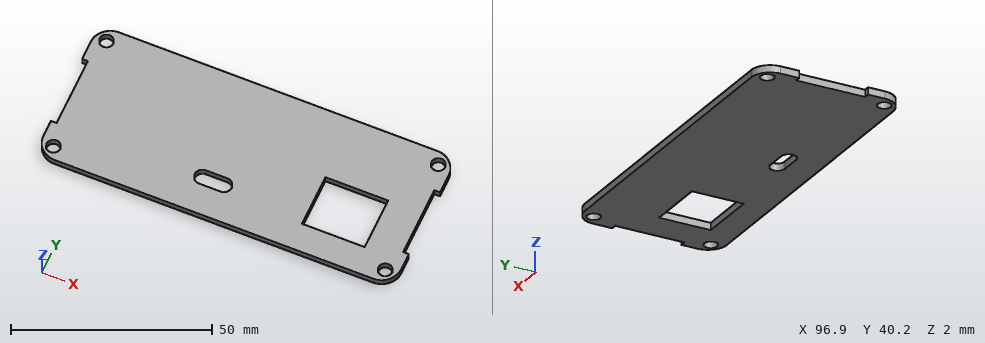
import cadquery as cq

length = 96.9
width = 40.2
thickness = 2.0
corner_radius = 5.3

hole_diameter = 3.7
left_hole_x = -45.0
right_hole_x = 44.9
upper_hole_y = 16.6
lower_hole_y = -16.6

recess_depth = 1.55
recess_top_y = 9.4
recess_bottom_y = -10.1

slot_length = 10.0
slot_width = 4.2
slot_center = (-4.6, -10.0)

window_length = 17.0
window_width = 14.6
window_center = (29.1, -5.2)


def make_plate():
    plate = cq.Workplane("XY").box(length, width, thickness, centered=(True, True, False))
    return plate.edges("|Z").fillet(corner_radius)


def make_hole_cutter():
    centers = [(x, y) for x in (left_hole_x, right_hole_x) for y in (lower_hole_y, upper_hole_y)]
    return cq.Workplane("XY").pushPoints(centers).circle(hole_diameter / 2).extrude(thickness)


def make_recess_cutter():
    recess_center_y = (recess_top_y + recess_bottom_y) / 2
    centers = [(side * length / 2, recess_center_y) for side in (-1, 1)]
    recess = cq.Workplane("XY").pushPoints(centers)
    return recess.rect(2 * recess_depth, recess_top_y - recess_bottom_y).extrude(thickness)


def make_slot_cutter():
    return cq.Workplane("XY").center(*slot_center).slot2D(slot_length, slot_width).extrude(thickness)


def make_window_cutter():
    return cq.Workplane("XY").center(*window_center).rect(window_length, window_width).extrude(thickness)


result = (
    make_plate()
    .cut(make_hole_cutter())
    .cut(make_recess_cutter())
    .cut(make_slot_cutter())
    .cut(make_window_cutter())
)